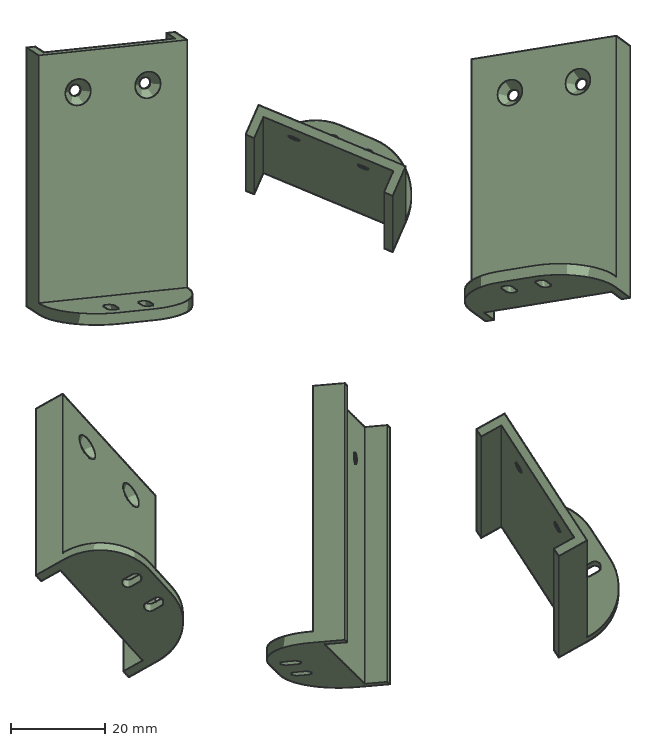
import cadquery as cq

height = 57.0
width = 34.0
channel_depth = 7.0
wall = 2.0

total_depth = 20.5
foot_thickness = 2.5
foot_corner_radius = 13.0

hole_diameter = 2.5
hole_spacing = 15.95
hole_drop = 9.0
countersink_diameter = 5.8
countersink_angle = 90

slot_length = 4.5
slot_width = 2.5
slot_spacing = 8.0
slot_center_x = 15.8


def make_channel():
    body = cq.Workplane("XY").box(channel_depth, width, height, centered=(False, True, False))
    recess = cq.Workplane("XY").box(
        channel_depth - wall, width - 2 * wall, height, centered=(False, True, False)
    )
    return body.cut(recess)


def make_foot():
    inner_face_x = channel_depth - wall
    foot = cq.Workplane("XY").box(
        total_depth - inner_face_x, width, foot_thickness, centered=(False, True, False)
    )
    foot = foot.translate((inner_face_x, 0, 0))
    return foot.edges("|Z and >X").fillet(foot_corner_radius)


def cut_wall_holes(body):
    hole_z = height - hole_drop
    return (
        body.copyWorkplane(cq.Workplane("YZ", origin=(channel_depth, 0, 0)))
        .pushPoints([(side * hole_spacing / 2, hole_z) for side in (-1, 1)])
        .cskHole(hole_diameter, countersink_diameter, countersink_angle, depth=wall)
    )


def make_foot_slots():
    return (
        cq.Workplane("XY")
        .pushPoints([(slot_center_x, side * slot_spacing / 2) for side in (-1, 1)])
        .slot2D(slot_length, slot_width)
        .extrude(foot_thickness)
    )


bracket = make_channel().union(make_foot()).cut(make_foot_slots())
result = cut_wall_holes(bracket)